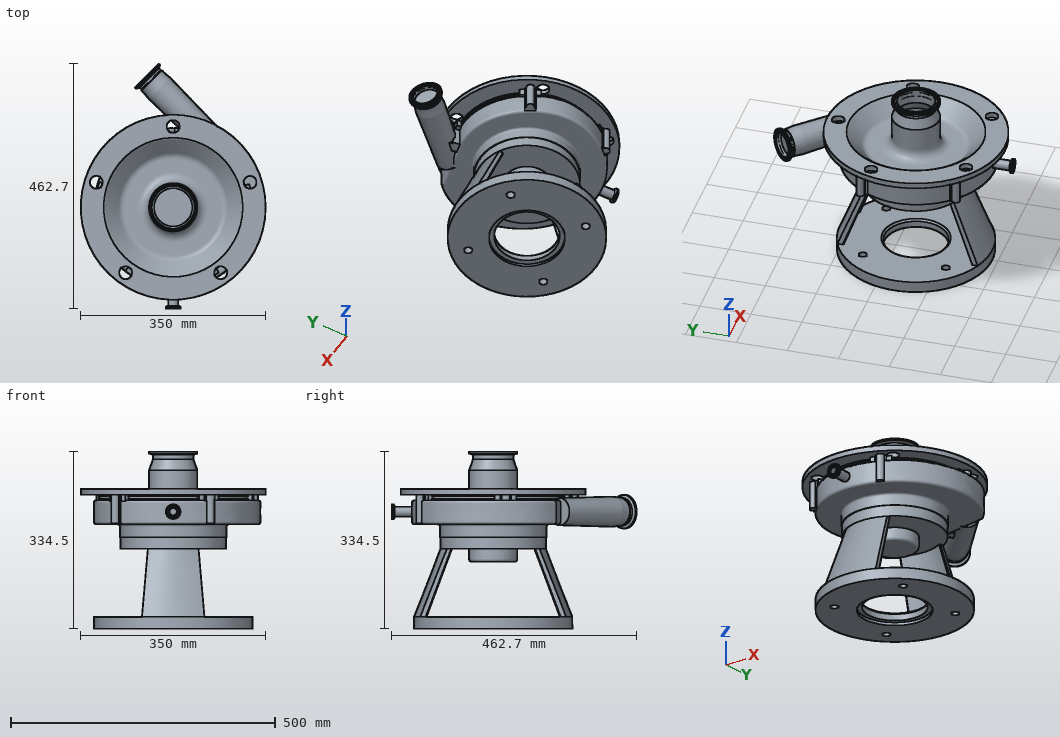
import cadquery as cq
import math

base_thick = 22.5
hub_bottom = 126.5
ring_bottom = 151.0
ring_top = 173.0
casing_bottom = 197.0
casing_top = 243.0
flange_bottom = 253.0
flange_top = 264.2
inlet_top = 334.5

base_radius = 150.0
base_bore_radius = 62.0
base_bore_chamfer = 3.5
base_recess_radius = 71.5
base_recess_depth = 6.0
base_bolt_circle = 115.2
base_bolt_radius = 8.0
base_bolt_count = 4
base_bolt_first_angle = 45
leg_thick_bottom = 12.0
leg_thick_top = 9.5
leg_bevel = 3.0
leg_half_width_bottom = 59.2
leg_half_width_top = 48.0

ring_radius = 100.0
collar_radius = 101.0
collar_cove = 4.0
hub_radius = 46.0
hub_fillet = 5.5

volute_radii = {
    90: 142.0, 135: 144.5, 180: 150.0, 225: 151.0, 270: 153.5, 315: 157.5, 360: 164.7, 405: 168.0,
}
casing_fillet = 5.0
neck_radius = 139
neck_ledge_radius = 141.5
neck_ledge_height = 3.0
neck_lip_height = 2.5

column_count = 5
column_first_angle = 9
column_circle = 154.5
column_radius = 8.0
web_width = 21.5
web_reach = 152.5
web_length = 27.8
column_bottom = 199
pad_radius = 150.0
pad_half_angle = 8

flange_radius = 175.0
flange_bolt_circle = 152.5
flange_bolt_radius = 12.0
flange_bolt_count = 5
flange_bolt_first_angle = 18
dish_floor = 233.0
dish_rim_radius = 131.5
dish_rim_chamfer = 3.0
dish_rim_drop = 1.5
dish_floor_radius = 91.5
dish_corner_radius = 15.5
dish_corner_turn = 45

port_height = 221.0

inlet_radius = 46.0
inlet_root_radius = 20.5
inlet_neck_radius = 38.5
inlet_cone_bottom = 299.5
inlet_cone_top = 320.2
inlet_bore_radius = 36.0
inlet_wide_bore_radius = 43.0
inlet_bore_cone_bottom = 289.2
inlet_bore_cone_top = 306.5

outlet_angle = 135
outlet_offset = 140.5
outlet_face = 211.0
outlet_clamp_radius = 32.0
outlet_neck_radius = 26.0
outlet_neck_length = 12.5
outlet_collar_radius = 27.5
outlet_collar_end = 18.0
outlet_flare_radius = 27.8
outlet_flare_end = 25.0
outlet_taper_length = 34.2
outlet_pipe_radius = 28.5
outlet_root_radius = 26.0
outlet_length = 174.0
outlet_bore_radius = 23.5
outlet_bore_depth = 10.5

drain_face = 191.5
drain_length = 51
drain_radius = 9.5
drain_clamp_radius = 14
drain_bore_radius = 7.0
drain_bore_depth = 14

clamp_rim = 3.5
clamp_bevel = 2.5
seal_groove_width = 3.0
seal_groove_depth = 1.5
inlet_groove_radius = 40.3
outlet_groove_radius = 27.0
drain_groove_radius = 9.5


def polar(radius, angle):
    turn = math.radians(angle)
    return (radius * math.cos(turn), radius * math.sin(turn))


def spin(profile):
    """Revolve a radius-height outline about the local vertical axis."""
    return profile.close().revolve(360, (0, 0, 0), (0, 1, 0))


def disc(radius, bottom, top):
    return cq.Workplane("XY").workplane(offset=bottom).circle(radius).extrude(top - bottom)


def hole_ring(radius, circle, count, first_angle, bottom, top):
    ring = cq.Workplane("XY").workplane(offset=bottom)
    return ring.polarArray(circle, first_angle, 360, count).circle(radius).extrude(top - bottom)


def seal_groove(inner_radius, face):
    outer = disc(inner_radius + seal_groove_width, face - seal_groove_depth, face)
    return outer.cut(disc(inner_radius, face - seal_groove_depth, face))


def make_base():
    plate = disc(base_radius, 0, base_thick).cut(disc(base_bore_radius, 0, base_thick))
    plate = plate.faces(">Z").edges(cq.selectors.RadiusNthSelector(0)).chamfer(base_bore_chamfer)
    plate = plate.cut(disc(base_recess_radius, 0, base_recess_depth))
    bolts = hole_ring(
        base_bolt_radius, base_bolt_circle, base_bolt_count, base_bolt_first_angle, 0, base_thick
    )
    return plate.cut(bolts)


def make_legs():
    """Two strips of a conical shell, trimmed to a width that narrows upward."""
    shell = spin(
        cq.Workplane("XZ")
        .moveTo(base_radius - leg_thick_bottom, base_thick)
        .lineTo(base_radius, base_thick)
        .lineTo(ring_radius, ring_bottom)
        .lineTo(ring_radius - leg_thick_top, ring_bottom)
    )
    trim = (
        cq.Workplane("XZ")
        .moveTo(-leg_half_width_bottom, base_thick)
        .lineTo(leg_half_width_bottom, base_thick)
        .lineTo(leg_half_width_top, ring_bottom)
        .lineTo(-leg_half_width_top, ring_bottom)
        .close()
        .extrude(base_radius, both=True)
    )
    legs = shell.intersect(trim)
    inner_radius = (base_radius + ring_radius - leg_thick_bottom - leg_thick_top) / 2
    half_width = (leg_half_width_bottom + leg_half_width_top) / 2
    inner_corner = math.sqrt(inner_radius**2 - half_width**2)
    inner_edges = cq.selectors.BoxSelector(
        (-base_radius, -inner_corner - leg_bevel, base_thick + leg_bevel),
        (base_radius, inner_corner + leg_bevel, ring_bottom - leg_bevel),
    )
    return legs.edges(inner_edges).chamfer(leg_bevel)


def make_hub():
    """Hub, bearing ring and collar, flaring into the casing underside."""
    hub = disc(hub_radius, hub_bottom, ring_bottom).faces("<Z").edges().fillet(hub_fillet)
    ring = disc(ring_radius, ring_bottom, ring_top)
    collar = spin(
        cq.Workplane("XZ")
        .moveTo(0, ring_top)
        .lineTo(collar_radius, ring_top)
        .lineTo(collar_radius, casing_bottom - collar_cove)
        .radiusArc((collar_radius + collar_cove, casing_bottom), collar_cove)
        .lineTo(0, casing_bottom)
    )
    return hub.union(ring).union(collar)


def make_casing():
    outline = [polar(radius, angle) for angle, radius in volute_radii.items()]
    volute = (
        cq.Workplane("XY")
        .workplane(offset=casing_bottom)
        .spline(outline)
        .close()
        .extrude(casing_top - casing_bottom)
        .faces("<Z or >Z")
        .edges()
        .fillet(casing_fillet)
    )
    neck = disc(neck_radius, casing_top, flange_bottom)
    ledge = disc(neck_ledge_radius, casing_top - casing_fillet, casing_top + neck_ledge_height)
    lip = disc(neck_ledge_radius, flange_bottom - neck_lip_height, flange_bottom)
    return volute.union(neck).union(ledge).union(lip)


def make_column(angle):
    """Round column, the web joining it to the casing, and its pad under the flange."""
    column = (
        cq.Workplane("XY")
        .workplane(offset=column_bottom)
        .center(*polar(column_circle, angle))
        .circle(column_radius)
        .extrude(flange_bottom - column_bottom)
    )
    pad = (
        cq.Workplane("XY")
        .workplane(offset=casing_top - casing_fillet)
        .lineTo(*polar(pad_radius, angle - pad_half_angle))
        .threePointArc(polar(pad_radius, angle), polar(pad_radius, angle + pad_half_angle))
        .close()
        .extrude(flange_bottom - casing_top + casing_fillet)
    )
    web = (
        cq.Workplane("XY")
        .workplane(offset=column_bottom)
        .center(web_reach - web_length / 2, 0)
        .rect(web_length, web_width)
        .extrude(flange_bottom - column_bottom)
        .rotate((0, 0, 0), (0, 0, 1), angle)
    )
    return column.union(web).union(pad)


def make_flange():
    bolts = hole_ring(
        flange_bolt_radius, flange_bolt_circle, flange_bolt_count,
        flange_bolt_first_angle, flange_bottom, flange_top,
    )
    return disc(flange_radius, flange_bottom, flange_top).cut(bolts)


def make_dish():
    """Ring-shaped void: sloping wall, rounded corner, flat floor and a cove up to the inlet."""
    wall_top_radius = dish_rim_radius - dish_rim_chamfer
    wall_top = flange_top - dish_rim_drop
    turn = math.radians(dish_corner_turn)
    corner_rise = dish_corner_radius * (1 - math.cos(turn))
    corner_run = dish_corner_radius * math.sin(turn)
    return spin(
        cq.Workplane("XZ")
        .moveTo(inlet_radius, flange_top)
        .lineTo(dish_rim_radius, flange_top)
        .lineTo(wall_top_radius, wall_top)
        .lineTo(dish_floor_radius + corner_run, dish_floor + corner_rise)
        .radiusArc((dish_floor_radius, dish_floor), dish_corner_radius)
        .lineTo(inlet_radius + inlet_root_radius, dish_floor)
        .radiusArc((inlet_radius, dish_floor + inlet_root_radius), inlet_root_radius)
    )


def make_inlet():
    pipe = spin(
        cq.Workplane("XZ")
        .moveTo(0, flange_bottom)
        .lineTo(inlet_radius, flange_bottom)
        .lineTo(inlet_radius, inlet_cone_bottom)
        .lineTo(inlet_neck_radius, inlet_cone_top)
        .lineTo(inlet_neck_radius, inlet_top - clamp_rim - clamp_bevel)
        .lineTo(inlet_radius, inlet_top - clamp_rim)
        .lineTo(inlet_radius, inlet_top)
        .lineTo(0, inlet_top)
    )
    return pipe.cut(seal_groove(inlet_groove_radius, inlet_top))


def make_inlet_bore():
    return spin(
        cq.Workplane("XZ")
        .moveTo(0, port_height)
        .lineTo(inlet_wide_bore_radius, port_height)
        .lineTo(inlet_wide_bore_radius, inlet_bore_cone_bottom)
        .lineTo(inlet_bore_radius, inlet_bore_cone_top)
        .lineTo(inlet_bore_radius, inlet_top)
        .lineTo(0, inlet_top)
    )


def make_outlet():
    """Outlet built along local +Z with its face at height zero, then laid tangent to the volute."""
    pipe = spin(
        cq.Workplane("XZ")
        .lineTo(outlet_clamp_radius, 0)
        .lineTo(outlet_clamp_radius, -clamp_rim)
        .lineTo(outlet_neck_radius, -clamp_rim - clamp_bevel)
        .lineTo(outlet_neck_radius, -outlet_neck_length)
        .lineTo(outlet_collar_radius, -outlet_neck_length)
        .lineTo(outlet_collar_radius, -outlet_collar_end)
        .lineTo(outlet_flare_radius, -outlet_flare_end)
        .lineTo(outlet_pipe_radius, -outlet_taper_length)
        .lineTo(outlet_root_radius, -outlet_length)
        .lineTo(0, -outlet_length)
    )
    pipe = pipe.cut(disc(outlet_bore_radius, -outlet_bore_depth, 0))
    pipe = pipe.cut(seal_groove(outlet_groove_radius, 0))
    pipe = pipe.rotate((0, 0, 0), (0, 1, 0), 90).translate((outlet_face, -outlet_offset, port_height))
    return pipe.rotate((0, 0, 0), (0, 0, 1), outlet_angle)


def make_drain():
    pipe = spin(
        cq.Workplane("XZ")
        .lineTo(drain_clamp_radius, 0)
        .lineTo(drain_clamp_radius, -clamp_rim)
        .lineTo(drain_radius, -clamp_rim - clamp_bevel)
        .lineTo(drain_radius, -drain_length)
        .lineTo(0, -drain_length)
    )
    pipe = pipe.cut(disc(drain_bore_radius, -drain_bore_depth, 0))
    pipe = pipe.cut(seal_groove(drain_groove_radius, 0))
    return pipe.rotate((0, 0, 0), (1, 0, 0), 90).translate((0, -drain_face, port_height))


result = make_base().union(make_legs()).union(make_hub()).union(make_casing())
result = result.union(make_flange())
for index in range(column_count):
    result = result.union(make_column(column_first_angle + index * 360 / column_count))
result = result.cut(make_dish())
result = result.union(make_inlet()).cut(make_inlet_bore())
result = result.union(make_outlet()).union(make_drain())